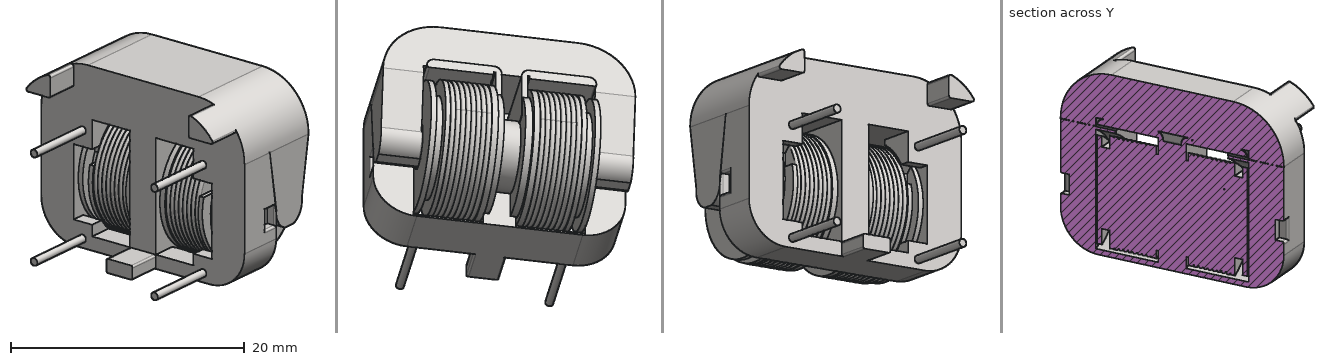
import cadquery as cq
import math


width = 22.0
height = 17.0
top_corner_radius = 5.02
bottom_corner_radius = 3.76
shoulder_z = height - top_corner_radius

base_upper_depth = 3.55
base_lower_depth = 4.47
core_back_y = 9.0

axis_y = (base_upper_depth + core_back_y) / 2
axis_z = 6.07
leg_radius = 1.8
leg_flat_drop = 1.72
bore_radius = 1.95

post_half_width = 1.4
window_bottom = 1.32
window_top = 12.08
window_outer_x = 5.48
pocket_outer_x = 7.48
pocket_bottom = 2.4
pocket_top = 9.35
bobbin_clearance_radius = 6.15

spacer_radius = 3.12
collar_inner_x = 0.92
collar_radius = 5.25
flange_inner_x = 1.56
winding_inner_x = 2.11
winding_outer_x = 5.72
groove_inner_x = 6.15
groove_outer_x = 6.9
rim_outer_x = 7.4
flange_radius = 5.92
rim_radius = 5.75
groove_radius = 4.5
turns = 8
winding_radius = 5.95
turn_bulge = 0.18

notch_floor_z = 7.6
notch_wall_y = 2.25
notch_ceiling_z = 8.98
lead_block_top_z = 10.12
lead_block_depth = 1.75

sleeve_inner_x = 0.88
sleeve_top = 12.7
sleeve_rear_bottom = 11.8
sleeve_back_y = 10.05
sleeve_corner_radius = 0.68
sleeve_edge_radius = 0.2

opening_front_y = 2.95
opening_back_y = 4.27
opening_bottom = 5.0
opening_top = 6.86
opening_lip = 0.2
opening_depth = 0.84

foot_length = 3.28
foot_inner_x = 7.48
foot_bottom = 14.63
foot_edge_radius = 0.2
center_foot_height = 1.32
center_foot_edge_radius = 0.18
pin_radius = 0.363
pin_length = 6.82
pin_x = 6.51
pin_heights = (0.88, 10.87)

flank_half_width = (core_back_y - base_upper_depth) / 2
flank_height = shoulder_z - axis_z
flank_angle = (
    math.acos(leg_radius / math.hypot(flank_half_width, flank_height))
    - math.atan2(flank_height, flank_half_width)
)
base_taper_end_z = shoulder_z - (base_lower_depth - base_upper_depth) / math.tan(flank_angle)


def box(x0, x1, y0, y1, z0, z1):
    """Box between two opposite corners."""
    return cq.Workplane("XY").box(x1 - x0, y1 - y0, z1 - z0, centered=False).translate((x0, y0, z0))


def along_x(profile, x0, x1):
    """Extrude a closed YZ profile between two X stations."""
    return profile.extrude(x1 - x0).translate((x0, 0, 0))


def disc(radius, x0, x1):
    """Disc on the bobbin axis."""
    return along_x(cq.Workplane("YZ").center(axis_y, axis_z).circle(radius), x0, x1)


def both_sides(solid):
    """The solid together with its mirror image across X = 0."""
    return solid.union(solid.mirror("YZ"))


def body_block(y0, y1, lower_radius=0.0):
    """Block with the rounded body outline."""
    block = box(-width / 2, width / 2, y0, y1, 0, height)
    block = block.edges("|Y and >Z").fillet(top_corner_radius)
    if lower_radius:
        block = block.edges("|Y and <Z").fillet(lower_radius)
    return block


def make_base():
    side_profile = cq.Workplane("YZ").polyline([
        (0, 0),
        (base_lower_depth, 0),
        (base_lower_depth, base_taper_end_z),
        (base_upper_depth, shoulder_z),
        (base_upper_depth, height),
        (0, height),
    ]).close()
    base = body_block(0, base_lower_depth, bottom_corner_radius)
    base = base.intersect(along_x(side_profile, -width / 2, width / 2))
    window = box(post_half_width, window_outer_x, 0, base_lower_depth, window_bottom, window_top)
    pocket = box(window_outer_x, pocket_outer_x, 0, base_lower_depth, pocket_bottom, pocket_top)
    bobbin_clearance = disc(bobbin_clearance_radius, post_half_width, pocket_outer_x)
    cavity = window.union(pocket).union(bobbin_clearance)
    return base.cut(both_sides(cavity)).cut(both_sides(make_side_opening()))


def make_side_opening():
    """Cutter for the blind rectangular opening in the side wall, with a rounded mouth."""
    opening_size = (opening_back_y - opening_front_y, opening_top - opening_bottom)
    center = ((opening_back_y + opening_front_y) / 2, (opening_top + opening_bottom) / 2)
    mouth_size = [side + 2 * opening_lip for side in opening_size]
    shaft = along_x(cq.Workplane("YZ").center(*center).rect(*opening_size), width / 2 - opening_depth, width / 2)
    mouth = along_x(cq.Workplane("YZ").center(*center).rect(*mouth_size), width / 2 - opening_lip, width / 2)
    lip_x = width / 2 - opening_lip
    for side in (-1, 1):
        bar_y = center[0] + side * mouth_size[0] / 2
        bar = cq.Workplane("XY").center(lip_x, bar_y).circle(opening_lip).extrude(height)
        mouth = mouth.cut(bar)
        bar_z = center[1] + side * mouth_size[1] / 2
        bar = cq.Workplane("XZ").center(lip_x, bar_z).circle(opening_lip).extrude(-core_back_y)
        mouth = mouth.cut(bar)
    return shaft.union(mouth)


def make_feet():
    corner_foot = body_block(-foot_length, 0).intersect(
        box(foot_inner_x, width / 2, -foot_length, 0, foot_bottom, height)
    )
    corner_foot = corner_foot.edges("|Y").fillet(foot_edge_radius)
    center_foot = box(-post_half_width, post_half_width, -foot_length, 0, 0, center_foot_height)
    center_foot = center_foot.edges("|Y").fillet(center_foot_edge_radius)
    return both_sides(corner_foot).union(center_foot)


def make_pins():
    points = [(side * pin_x, z) for side in (-1, 1) for z in pin_heights]
    return cq.Workplane("XZ").pushPoints(points).circle(pin_radius).extrude(pin_length)


def make_core():
    """Yoke and side legs with tapering flanks, joined by a round leg through the bobbins."""
    tangent_half_width = leg_radius * math.cos(flank_angle)
    tangent_z = axis_z + leg_radius * math.sin(flank_angle)
    flat_z = axis_z - leg_flat_drop
    flat_half_width = math.sqrt(leg_radius**2 - leg_flat_drop**2)
    mid_angle = (flank_angle - math.acos(flat_half_width / leg_radius)) / 2
    mid_half_width = leg_radius * math.cos(mid_angle)
    mid_z = axis_z + leg_radius * math.sin(mid_angle)
    side_profile = (
        cq.Workplane("YZ")
        .moveTo(base_upper_depth, height)
        .lineTo(base_upper_depth, shoulder_z)
        .lineTo(axis_y - tangent_half_width, tangent_z)
        .threePointArc((axis_y - mid_half_width, mid_z), (axis_y - flat_half_width, flat_z))
        .lineTo(axis_y + flat_half_width, flat_z)
        .threePointArc((axis_y + mid_half_width, mid_z), (axis_y + tangent_half_width, tangent_z))
        .lineTo(core_back_y, shoulder_z)
        .lineTo(core_back_y, height)
        .close()
    )
    core = body_block(base_upper_depth, core_back_y)
    core = core.intersect(along_x(side_profile, -width / 2, width / 2))
    core = core.cut(box(-pocket_outer_x, pocket_outer_x, base_upper_depth, core_back_y, 0, sleeve_top))
    leg = disc(leg_radius, -pocket_outer_x, pocket_outer_x)
    leg = leg.intersect(box(-pocket_outer_x, pocket_outer_x, 0, core_back_y, flat_z, height))
    return core.union(leg)


def make_winding():
    """Revolved layer of wire with one bulge per turn."""
    pitch = (winding_outer_x - winding_inner_x) / turns
    valley_radius = winding_radius - turn_bulge
    profile = cq.Workplane("XY").moveTo(winding_inner_x, 0).lineTo(winding_inner_x, valley_radius)
    for turn in range(turns):
        start = winding_inner_x + turn * pitch
        profile = profile.threePointArc((start + pitch / 2, winding_radius), (start + pitch, valley_radius))
    profile = profile.lineTo(winding_outer_x, 0).close()
    return profile.revolve(360, (0, 0, 0), (1, 0, 0)).translate((0, axis_y, axis_z))


def make_bobbin():
    flange = disc(flange_radius, winding_outer_x, groove_inner_x)
    lead_block = disc(rim_radius, groove_inner_x, groove_outer_x).intersect(
        box(groove_inner_x, groove_outer_x, 0, notch_wall_y + lead_block_depth, notch_floor_z, lead_block_top_z)
    )
    notch = along_x(
        cq.Workplane("YZ").polyline([
            (0, notch_floor_z),
            (notch_wall_y, notch_floor_z),
            (notch_wall_y, notch_ceiling_z),
            (0, notch_ceiling_z + notch_wall_y),
        ]).close(),
        winding_outer_x,
        groove_outer_x,
    )
    return (
        flange.union(lead_block).cut(notch)
        .union(disc(groove_radius, groove_inner_x, groove_outer_x))
        .union(disc(rim_radius, groove_outer_x, rim_outer_x))
        .union(make_winding())
        .union(disc(flange_radius, flange_inner_x, winding_inner_x))
        .union(disc(collar_radius, collar_inner_x, flange_inner_x))
        .union(disc(spacer_radius, 0, collar_inner_x))
        .cut(disc(bore_radius, 0, rim_outer_x))
    )


def make_sleeve():
    """Top plate with a thicker rear half and a side wall next to the symmetry plane."""
    plate = box(sleeve_inner_x, rim_outer_x, base_upper_depth, sleeve_back_y, window_top, sleeve_top)
    rear = box(
        flange_inner_x, rim_outer_x, axis_y, sleeve_back_y, sleeve_rear_bottom, sleeve_top
    )
    rear = rear.edges("|Y and >X and <Z").fillet(sleeve_edge_radius)
    wall = box(sleeve_inner_x, post_half_width, base_upper_depth, sleeve_back_y, axis_z + leg_radius, sleeve_top)
    return plate.union(rear).union(wall).edges("|Y and >Z").fillet(sleeve_corner_radius)


result = (
    make_base()
    .union(make_feet())
    .union(make_pins())
    .union(make_core())
    .union(both_sides(make_sleeve()))
    .union(both_sides(make_bobbin()))
)